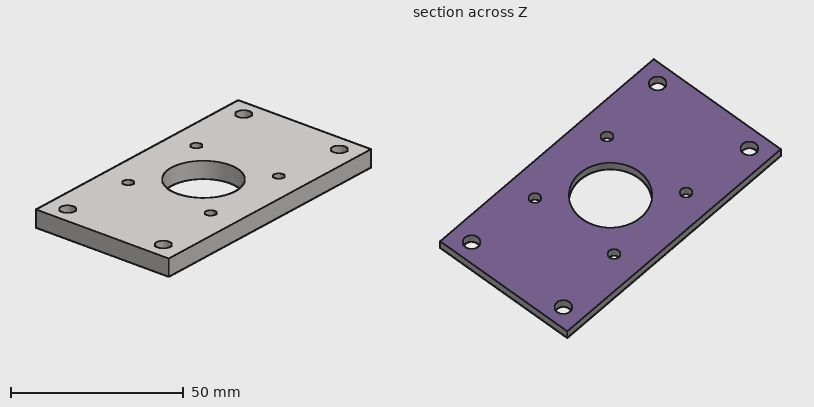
import cadquery as cq

width = 50.0
length = 92.0
thickness = 6.0

bore_diameter = 24.0

corner_hole_diameter = 5.0
corner_spacing_x = 36.0
corner_spacing_y = 80.0

small_hole_diameter = 3.5
small_hole_spacing = 31.0


def drill_rectangle(body, spacing_x, spacing_y, diameter):
    """Drill a through hole at each corner of a centred rectangle."""
    return (
        body.faces(">Z")
        .workplane(origin=(0, 0, 0))
        .rect(spacing_x, spacing_y, forConstruction=True)
        .vertices()
        .hole(diameter)
    )


plate = cq.Workplane("XY").box(width, length, thickness)
plate = plate.faces(">Z").workplane().hole(bore_diameter)
plate = drill_rectangle(plate, corner_spacing_x, corner_spacing_y, corner_hole_diameter)
result = drill_rectangle(plate, small_hole_spacing, small_hole_spacing, small_hole_diameter)